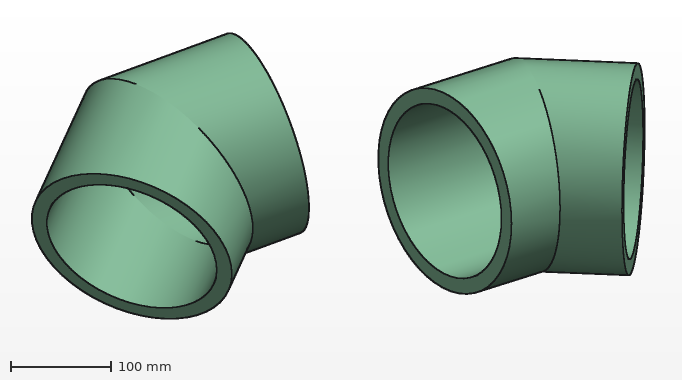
import cadquery as cq
import math

overall_size = 256.0
bend_angle = math.radians(45)
bore_diameter = 180.0

outer_radius = overall_size / (1 + math.sin(bend_angle) + math.cos(bend_angle))
bore_radius = bore_diameter / 2
leg_length = outer_radius

inlet_center = (0, -leg_length)
bend_center = (0, 0)
outlet_center = (leg_length * math.sin(bend_angle), leg_length * math.cos(bend_angle))
centerline = cq.Workplane("XY").polyline([inlet_center, bend_center, outlet_center])

inlet_plane = cq.Plane(origin=(*inlet_center, 0), xDir=(1, 0, 0), normal=(0, 1, 0))
pipe_wall = cq.Workplane(inlet_plane).circle(outer_radius).circle(bore_radius)
result = pipe_wall.sweep(centerline, transition="right")